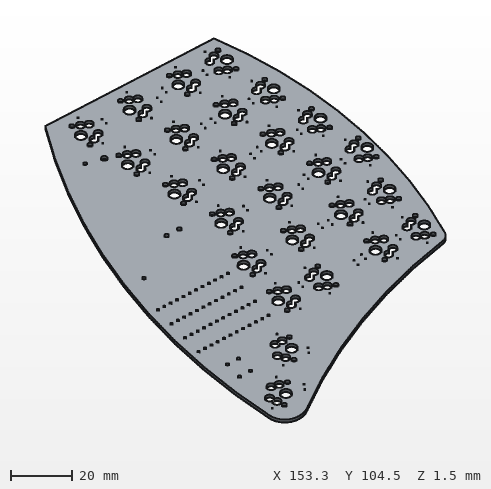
import cadquery as cq
import math


HEIGHT = 104.5
THICKNESS = 1.5
LEFT_X = -76.7
UPPER_LEFT = (LEFT_X, 36.4)
TOP_CREST = (-4.5, HEIGHT / 2)
UPPER_RIGHT = (39.7, 47.1)
WAIST = (53.4, 3.2)
THUMB_TIP = (82.2, -43.3)
BOTTOM_CREST = (18.0, -HEIGHT / 2)
LOWER_LEFT = (LEFT_X, -31.1)
UPPER_FILLET = 3.5
THUMB_FILLET = 7.7

GRID = 1.27
POST_DIAMETER = 4.0
PIN_DIAMETER = 3.0
PEG_DIAMETER = 1.7
VIA_DIAMETER = 0.4
PEG = (4 * GRID, 0)
OUTER_PIN = (3 * GRID, 2 * GRID)
INNER_PIN = (2 * GRID, 4 * GRID)
SIDE_VIA = (5.5 * GRID, 3 * GRID)

KEY_PITCH = 19.5
FIRST_KEY = (-66.6, -24.1)
ROW_COUNT = 4
COLUMN_STEP = KEY_PITCH / 4
COLUMN_STEPS_UP = [0, 1, 2, 3, 2, 2]
UPRIGHT = 0
INVERTED = 180
TOP_ROW = ROW_COUNT - 1
LONE_INVERTED_KEY = (5, 1)
THUMB_KEYS = [(50.6, -23.0, INVERTED - 27), (66.0, -36.2, INVERTED - 41)]

DIODE_SPACING = 2.3
DIODES = [
    (-66.0, 25.2, 0), (-67.3, 9.8, 0), (-64.7, 6.0, 0), (-67.3, -14.3, 0),
    (-47.0, 30.0, 0), (-47.0, 14.9, 0), (-47.0, 10.9, 0), (-47.0, -9.4, 0),
    (-26.7, 35.0, 0), (-27.9, 19.8, 0), (-26.7, 16.3, 0), (-26.7, -4.1, 0),
    (-7.7, 39.0, 0), (-9.0, 25.2, 0), (-6.5, 21.2, 0), (-9.0, 0.9, 0),
    (11.5, 35.0, 0), (12.1, 19.8, 0), (11.5, 16.3, 0), (11.5, -4.1, 0),
    (30.4, 34.0, 0), (30.8, 19.8, 0), (31.6, 16.3, 0), (29.1, -4.1, 0),
    (54.5, -19.0, -30), (67.0, -29.6, -30),
]

PAD_COLUMNS = 4
PAD_ROWS = 12
PAD_PITCH = 2 * GRID
PAD_COLUMN_SPACING = 6 * GRID
FIRST_PAD = (11.4, -48.6)
PAD_DIAMETER = 0.8

JACK_DIAMETER = 1.1
JACK_CENTER = (47.7, -42.0)
JACK_SPACING = (6.8, 4.5)
BUTTON_DIAMETER = 1.52
BUTTON_HOLES = [(-14.0, -22.1), (-14.0, -27.2)]
LOCATING_DIAMETER = 1.2
LOCATING_HOLES = [(-55.5, -30.2), (-2.8, -44.2)]
SCREW_DIAMETER = 2.1
SCREW_HOLES = [(-53.8, -23.8)]


def plate():
    outline = (
        cq.Workplane("XY")
        .moveTo(*LOWER_LEFT)
        .lineTo(*UPPER_LEFT)
        .threePointArc(TOP_CREST, UPPER_RIGHT)
        .threePointArc(WAIST, THUMB_TIP)
        .threePointArc(BOTTOM_CREST, LOWER_LEFT)
        .close()
    )
    body = outline.extrude(THICKNESS)
    upper_corner = cq.selectors.NearestToPointSelector((*UPPER_RIGHT, THICKNESS / 2))
    body = body.edges(upper_corner).fillet(UPPER_FILLET)
    thumb_corner = cq.selectors.NearestToPointSelector((*THUMB_TIP, THICKNESS / 2))
    return body.edges(thumb_corner).fillet(THUMB_FILLET)


def drill(body, centers, diameter):
    """Round through holes of one size."""
    cutters = cq.Workplane("XY").pushPoints(centers).circle(diameter / 2).extrude(THICKNESS)
    return body.cut(cutters)


def place(origin, angle, offset):
    """Turn an offset by an angle in degrees and move it to an origin."""
    turn = math.radians(angle)
    x = origin[0] + offset[0] * math.cos(turn) - offset[1] * math.sin(turn)
    y = origin[1] + offset[0] * math.sin(turn) + offset[1] * math.cos(turn)
    return (x, y)


def key_positions():
    """Centre and direction of every key."""
    keys = list(THUMB_KEYS)
    for column, steps_up in enumerate(COLUMN_STEPS_UP):
        for row in range(ROW_COUNT):
            x = FIRST_KEY[0] + column * KEY_PITCH
            y = FIRST_KEY[1] + row * KEY_PITCH + steps_up * COLUMN_STEP
            inverted = row == TOP_ROW or (column, row) == LONE_INVERTED_KEY
            angle = INVERTED if inverted else UPRIGHT
            keys.append((x, y, angle))
    return keys


def mirrored_holes(placements, offset):
    """The hole at an offset and its mirror image, for every placement (X, Y, angle)."""
    return [
        place((x, y), angle, (side * offset[0], offset[1]))
        for x, y, angle in placements
        for side in (-1, 1)
    ]


def drill_switches(body):
    keys = key_positions()
    body = drill(body, [(x, y) for x, y, angle in keys], POST_DIAMETER)
    body = drill(body, mirrored_holes(keys, PEG), PEG_DIAMETER)
    body = drill(body, mirrored_holes(keys, OUTER_PIN), PIN_DIAMETER)
    body = drill(body, mirrored_holes(keys, INNER_PIN), PIN_DIAMETER)
    return drill(body, mirrored_holes(keys, SIDE_VIA), VIA_DIAMETER)


def drill_diodes(body):
    return drill(body, mirrored_holes(DIODES, (DIODE_SPACING / 2, 0)), VIA_DIAMETER)


def drill_controller(body):
    pads = [
        place(FIRST_PAD, 0, (column * PAD_COLUMN_SPACING, row * PAD_PITCH))
        for column in range(PAD_COLUMNS)
        for row in range(PAD_ROWS)
    ]
    return drill(body, pads, PAD_DIAMETER)


def drill_jack(body):
    corners = [
        place(JACK_CENTER, 0, (side_x * JACK_SPACING[0] / 2, side_y * JACK_SPACING[1] / 2))
        for side_x in (-1, 1)
        for side_y in (-1, 1)
    ]
    return drill(body, corners, JACK_DIAMETER)


result = plate()
result = drill_switches(result)
result = drill_diodes(result)
result = drill_controller(result)
result = drill_jack(result)
result = drill(result, BUTTON_HOLES, BUTTON_DIAMETER)
result = drill(result, LOCATING_HOLES, LOCATING_DIAMETER)
result = drill(result, SCREW_HOLES, SCREW_DIAMETER)